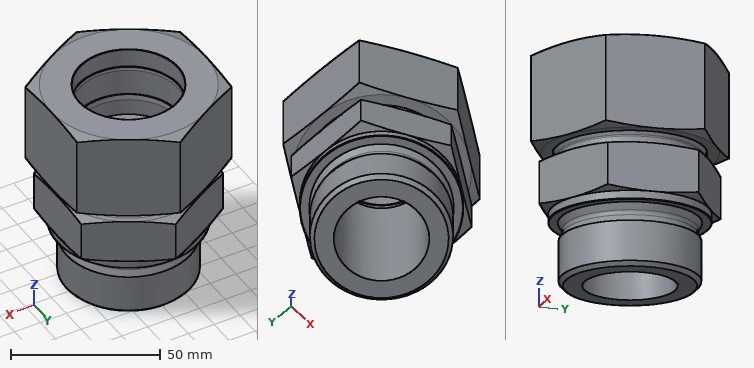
import cadquery as cq
import math

total_height = 79.0
nut_bottom_z = 46.5
body_hex_top_z = 42.0
body_hex_bottom_z = 25.05
body_top_z = 65.25

hex_half_angle = 30.0
nut_across_corners = 69.3
nut_across_flats = nut_across_corners * math.cos(math.radians(hex_half_angle))
nut_twist_angle = 0.1
body_across_flats = 55.0
hex_chamfer_angle = 15.0

flange_bottom_z = 22.05
stud_radius = 48.0 / 2
stud_top_z = 15.65
flange_chamfer = 0.2
undercut_edge_radius = 45.7 / 2
undercut_mouth_radius = 48.5 / 2
undercut_groove_bottom_z = 18.0
undercut_groove_top_z = 19.75
undercut_groove_depth = 0.2
stud_chamfer = 1.5

thread_radius = 52.0 / 2
thread_slope = math.tan(math.radians(30))
neck_radius = 49.0 / 2
neck_fillet = 1.0
neck_top_z = 45.1
neck_blend_angle = math.radians(30)

bore_radius = 32.0 / 2
socket_radius = 38.0 / 2
socket_floor_z = 51.35
seat_mouth_radius = 41.2 / 2
seat_slope = math.tan(math.radians(12))
seat_bottom_z = body_top_z - (seat_mouth_radius - socket_radius) / seat_slope

ring_bore_radius = 38.2 / 2
ring_outer_radius = 44.0 / 2
ring_bottom_z = 59.7
ring_tip_radius = socket_radius + (ring_bottom_z - seat_bottom_z) * seat_slope
ring_lead_bottom_z = 70.1
ring_lead_height = 1.1
ring_lead_in = 0.2

nut_bore_radius = socket_radius
nut_mouth_chamfer = 0.15
nut_cone_top_z = 71.8
nut_cone_bottom_z = nut_cone_top_z - (ring_outer_radius - nut_bore_radius)


def revolved(profile):
    """Turn a closed radius-height profile about the Z axis."""
    return profile.close().revolve(360, (0, 0, 0), (0, 1, 0))


def chamfered_hex(across_flats, bottom_z, top_z):
    """Hexagonal prism with two flats facing X, its corners turned off at both ends."""
    flat_radius = across_flats / 2
    corner_radius = flat_radius / math.cos(math.radians(hex_half_angle))
    corner_drop = (corner_radius - flat_radius) * math.tan(math.radians(hex_chamfer_angle))
    prism = (
        cq.Workplane("XY", origin=(0, 0, bottom_z))
        .polygon(6, 2 * corner_radius)
        .extrude(top_z - bottom_z)
        .rotate((0, 0, 0), (0, 0, 1), hex_half_angle)
    )
    envelope = revolved(
        cq.Workplane("XZ")
        .moveTo(0, bottom_z)
        .lineTo(flat_radius, bottom_z)
        .lineTo(corner_radius, bottom_z + corner_drop)
        .lineTo(corner_radius, top_z - corner_drop)
        .lineTo(flat_radius, top_z)
        .lineTo(0, top_z)
    )
    return prism.intersect(envelope)


def stud_end():
    """Lower stud with its round-bottomed undercut and the round flange below the hexagon."""
    flange_radius = body_across_flats / 2
    undercut_middle_z = (undercut_groove_bottom_z + undercut_groove_top_z) / 2
    return revolved(
        cq.Workplane("XZ")
        .moveTo(0, 0)
        .lineTo(stud_radius - stud_chamfer, 0)
        .lineTo(stud_radius, stud_chamfer)
        .lineTo(stud_radius, stud_top_z)
        .lineTo(undercut_edge_radius, undercut_groove_bottom_z)
        .threePointArc(
            (undercut_edge_radius - undercut_groove_depth, undercut_middle_z),
            (undercut_edge_radius, undercut_groove_top_z),
        )
        .lineTo(undercut_mouth_radius, flange_bottom_z)
        .lineTo(flange_radius - flange_chamfer, flange_bottom_z)
        .lineTo(flange_radius, flange_bottom_z + flange_chamfer)
        .lineTo(flange_radius, body_hex_bottom_z)
        .lineTo(0, body_hex_bottom_z)
    )


def neck_blend_point(center_z, direction, angle):
    """Point on a neck fillet, turned by angle from where it leaves the neck."""
    radius = neck_radius + neck_fillet * (1 - math.cos(angle))
    return radius, center_z + direction * neck_fillet * math.sin(angle)


def threaded_end():
    """Upper thread cylinder, joined to the hexagon by a filleted neck."""
    neck_bottom_z = body_hex_top_z + neck_fillet
    quarter_turn = math.radians(90)
    lower_end = neck_blend_point(neck_bottom_z, -1, quarter_turn)
    lower_middle = neck_blend_point(neck_bottom_z, -1, quarter_turn / 2)
    upper_middle = neck_blend_point(neck_top_z, 1, neck_blend_angle / 2)
    upper_end = neck_blend_point(neck_top_z, 1, neck_blend_angle)
    thread_bottom_z = upper_end[1] + (thread_radius - upper_end[0]) / thread_slope
    return revolved(
        cq.Workplane("XZ")
        .moveTo(0, body_hex_top_z)
        .lineTo(*lower_end)
        .threePointArc(lower_middle, (neck_radius, neck_bottom_z))
        .lineTo(neck_radius, neck_top_z)
        .threePointArc(upper_middle, upper_end)
        .lineTo(thread_radius, thread_bottom_z)
        .lineTo(thread_radius, body_top_z)
        .lineTo(0, body_top_z)
    )


def body_passage():
    """Through bore, tube socket and the conical seat for the ring."""
    return revolved(
        cq.Workplane("XZ")
        .moveTo(0, 0)
        .lineTo(bore_radius, 0)
        .lineTo(bore_radius, socket_floor_z)
        .lineTo(socket_radius, socket_floor_z)
        .lineTo(socket_radius, seat_bottom_z)
        .lineTo(seat_mouth_radius, body_top_z)
        .lineTo(0, body_top_z)
    )


def make_body():
    """Stud body with its hexagon, both threaded ends and the passage through it."""
    hexagon = chamfered_hex(body_across_flats, body_hex_bottom_z, body_hex_top_z)
    return stud_end().union(hexagon).union(threaded_end()).cut(body_passage())


def make_ring():
    """Cutting ring held between the seat of the body and the cone of the nut."""
    top_z = ring_lead_bottom_z + ring_lead_height
    top_outer_radius = nut_bore_radius + nut_cone_top_z - top_z
    return revolved(
        cq.Workplane("XZ")
        .moveTo(ring_bore_radius, ring_bottom_z)
        .lineTo(ring_tip_radius, ring_bottom_z)
        .lineTo(seat_mouth_radius, body_top_z)
        .lineTo(ring_outer_radius, body_top_z)
        .lineTo(ring_outer_radius, nut_cone_bottom_z)
        .lineTo(top_outer_radius, top_z)
        .lineTo(ring_bore_radius + ring_lead_in, top_z)
        .lineTo(ring_bore_radius, ring_lead_bottom_z)
    )


def nut_passage():
    """Thread bore, ring pocket with its 45 degree cone, and the tube opening."""
    return revolved(
        cq.Workplane("XZ")
        .moveTo(0, nut_bottom_z)
        .lineTo(thread_radius, nut_bottom_z)
        .lineTo(thread_radius, body_top_z)
        .lineTo(ring_outer_radius, body_top_z)
        .lineTo(ring_outer_radius, nut_cone_bottom_z)
        .lineTo(nut_bore_radius, nut_cone_top_z)
        .lineTo(nut_bore_radius, total_height - nut_mouth_chamfer)
        .lineTo(nut_bore_radius + nut_mouth_chamfer, total_height)
        .lineTo(0, total_height)
    )


def make_nut():
    """Union nut, tightened to a slight twist against the hexagon of the body."""
    hexagon = chamfered_hex(nut_across_flats, nut_bottom_z, total_height)
    return hexagon.cut(nut_passage()).rotate((0, 0, 0), (0, 0, 1), nut_twist_angle)


body = make_body()
ring = make_ring()
nut = make_nut()

result = cq.Compound.makeCompound([body.val(), ring.val(), nut.val()])